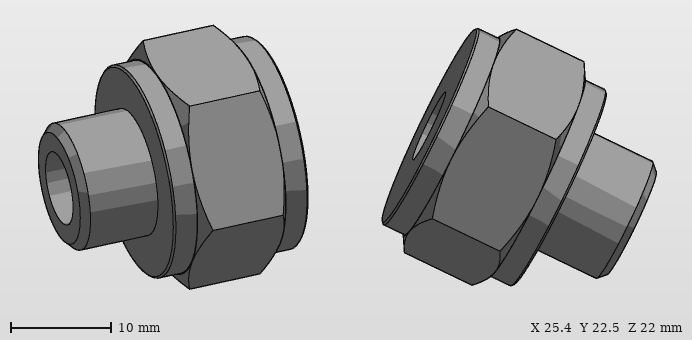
import cadquery as cq
import math

hex_across_corners = 25.4
hex_length = 9.5
hex_chamfer_angle = 30.0
collar_diameter = 21.8
collar_length = 2.5
collar_chamfer = 0.2
stub_diameter = 13.0
stub_length = 8.03
stub_chamfer = 0.8
bore_diameter = 7.5

hex_across_flats = hex_across_corners * math.cos(math.radians(30))
corner_drop = (hex_across_corners - hex_across_flats) / 2 * math.tan(math.radians(hex_chamfer_angle))
front_collar_start = stub_length
hex_start = front_collar_start + collar_length
hex_end = hex_start + hex_length
total_length = hex_end + collar_length


def section_at(y):
    """Sketch plane at height y along the axis, facing +Y, with local x along X."""
    return cq.Workplane(cq.Plane(origin=(0, y, 0), xDir=(1, 0, 0), normal=(0, 1, 0)))


def cylinder(start, length, diameter):
    return section_at(start).circle(diameter / 2).extrude(length)


def chamfered_hex():
    """Hexagon with corners on the X axis, trimmed by a cone at each end."""
    prism = section_at(hex_start).polygon(6, hex_across_corners).extrude(hex_length)
    flat_radius = hex_across_flats / 2
    corner_radius = hex_across_corners / 2
    envelope = (
        cq.Workplane("XY")
        .moveTo(0, hex_start)
        .lineTo(flat_radius, hex_start)
        .lineTo(corner_radius, hex_start + corner_drop)
        .lineTo(corner_radius, hex_end - corner_drop)
        .lineTo(flat_radius, hex_end)
        .lineTo(0, hex_end)
        .close()
        .revolve(360, (0, 0, 0), (0, 1, 0))
    )
    return prism.intersect(envelope)


stub = cylinder(0, stub_length, stub_diameter).faces("<Y").chamfer(stub_chamfer)
front_collar = cylinder(front_collar_start, collar_length, collar_diameter).faces("<Y").chamfer(collar_chamfer)
rear_collar = cylinder(hex_end, collar_length, collar_diameter).faces(">Y").chamfer(collar_chamfer)

body = chamfered_hex().union(front_collar).union(rear_collar).union(stub)

result = body.cut(cylinder(0, total_length, bore_diameter))